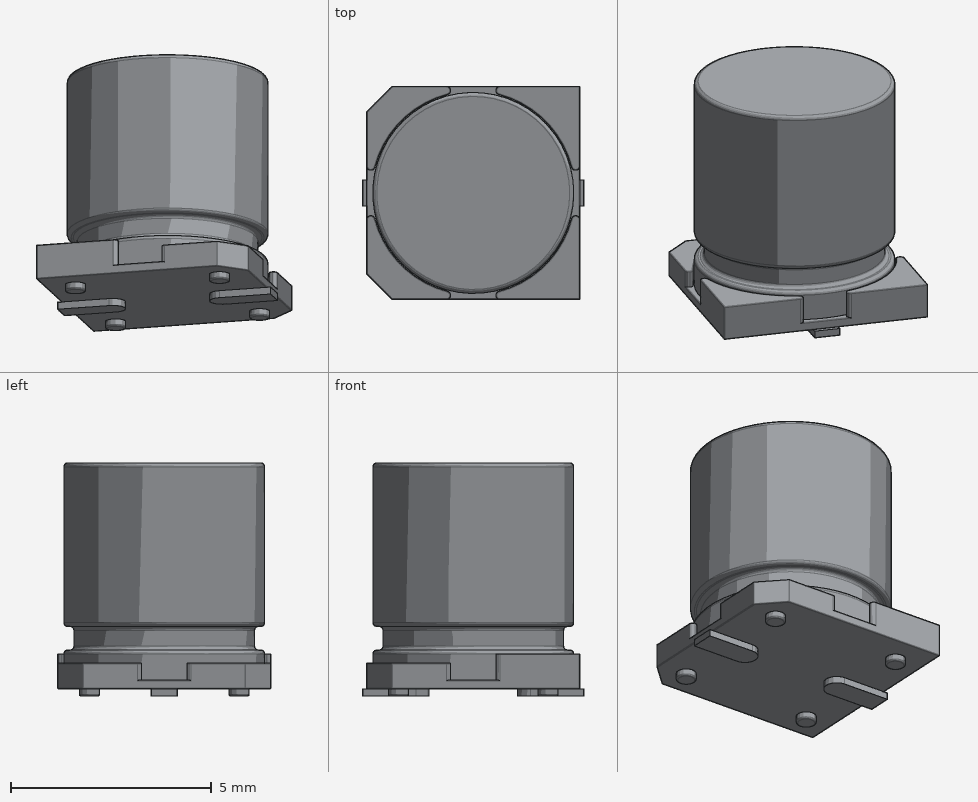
import cadquery as cq
import math

base_size = 5.3
half_base = base_size / 2
corner_chamfer = 0.63
standoff = 0.18
floor_top = 0.4
low_post_top = 0.82
high_post_top = 1.05
notch_width = 1.13
post_tip_radius = 0.1
bore_radius = 2.53
edge_radius = 0.02

can_radius = 5.0 / 2
neck_radius = 4.5 / 2
can_top = 5.8
bend_radius = 0.1
groove_bottom = 1.145
groove_top = 1.73

lead_reach = 5.5 / 2
lead_inner_end = 1.1
lead_width = 0.65
foot_diameter = 0.5
foot_edge_radius = 0.04
foot_offset = 1.86


def base_block(bottom, top):
    """Square block with both -X corners chamfered and all upright edges softened."""
    return (
        cq.Workplane("XY", origin=(0, 0, bottom))
        .rect(base_size, base_size)
        .extrude(top - bottom)
        .edges("|Z and <X")
        .chamfer(corner_chamfer)
        .edges("|Z")
        .fillet(edge_radius)
    )


def corner_post(x_sign, y_sign, top):
    """Corner of the base above the floor, hollowed for the can, with rounded tips."""
    span = half_base - notch_width / 2
    centre = (half_base + notch_width / 2) / 2
    height = top - floor_top
    quadrant = (
        cq.Workplane("XY", origin=(0, 0, floor_top))
        .center(x_sign * centre, y_sign * centre)
        .rect(span, span)
        .extrude(height)
    )
    bore = cq.Workplane("XY", origin=(0, 0, floor_top)).circle(bore_radius).extrude(height)
    post = base_block(floor_top, top).intersect(quadrant).cut(bore)

    reach = notch_width / 2
    x_tip = cq.selectors.BoxSelector(
        (x_sign * (reach - post_tip_radius), 0, 0),
        (x_sign * (reach + post_tip_radius), y_sign * base_size, can_top),
    )
    y_tip = cq.selectors.BoxSelector(
        (0, y_sign * (reach - post_tip_radius), 0),
        (x_sign * base_size, y_sign * (reach + post_tip_radius), can_top),
    )
    tips = post.edges("|Z").edges(x_tip + y_tip)
    return tips.fillet(post_tip_radius)


def edges_at(body, level):
    """Edges of the body that lie flat at one height."""
    margin = edge_radius / 4
    slab = cq.selectors.BoxSelector(
        (-base_size, -base_size, level - margin),
        (base_size, base_size, level + margin),
        boundingbox=True,
    )
    return body.edges(slab)


def base():
    """Floor and four corner posts, with the outside edges softened."""
    body = base_block(standoff, floor_top)
    for y_sign in (-1, 1):
        body = body.union(corner_post(-1, y_sign, low_post_top))
        body = body.union(corner_post(1, y_sign, high_post_top))

    soft_edges = []
    for level in (standoff, low_post_top, high_post_top):
        soft_edges += edges_at(body, level).vals()
    for side in (">X", "<X", ">Y", "<Y"):
        soft_edges += edges_at(body, floor_top).edges(side).vals()
    return body.newObject(soft_edges).fillet(edge_radius)


def can():
    """Revolved can with a crimp groove near its foot and a rounded top rim."""
    rim = can_radius - bend_radius
    neck_bend = neck_radius + bend_radius
    bend = bend_radius * math.sqrt(0.5)

    profile = (
        cq.Workplane("XZ")
        .moveTo(0, floor_top)
        .lineTo(can_radius, floor_top)
        .lineTo(can_radius, groove_bottom - bend_radius)
        .threePointArc((rim + bend, groove_bottom - bend_radius + bend), (rim, groove_bottom))
        .lineTo(neck_bend, groove_bottom)
        .threePointArc(
            (neck_bend - bend, groove_bottom + bend_radius - bend),
            (neck_radius, groove_bottom + bend_radius),
        )
        .lineTo(neck_radius, groove_top - bend_radius)
        .threePointArc((neck_bend - bend, groove_top - bend_radius + bend), (neck_bend, groove_top))
        .lineTo(rim, groove_top)
        .threePointArc(
            (rim + bend, groove_top + bend_radius - bend),
            (can_radius, groove_top + bend_radius),
        )
        .lineTo(can_radius, can_top - bend_radius)
        .threePointArc((rim + bend, can_top - bend_radius + bend), (rim, can_top))
        .lineTo(0, can_top)
        .close()
    )
    return profile.revolve(360, (0, 0, 0), (0, 1, 0))


def lead(x_sign):
    """Flat lead under the base: square outer end, round inner end."""
    half_width = lead_width / 2
    round_start = x_sign * (lead_inner_end + half_width)
    outer_end = x_sign * lead_reach
    return (
        cq.Workplane("XY")
        .moveTo(outer_end, -half_width)
        .lineTo(round_start, -half_width)
        .threePointArc((x_sign * lead_inner_end, 0), (round_start, half_width))
        .lineTo(outer_end, half_width)
        .close()
        .extrude(standoff)
    )


def feet():
    """Four round support feet with a softened lower rim."""
    return (
        cq.Workplane("XY")
        .rect(2 * foot_offset, 2 * foot_offset, forConstruction=True)
        .vertices()
        .circle(foot_diameter / 2)
        .extrude(standoff)
        .faces("<Z")
        .edges()
        .fillet(foot_edge_radius)
    )


result = base().union(can()).union(feet())
for side in (-1, 1):
    result = result.union(lead(side))